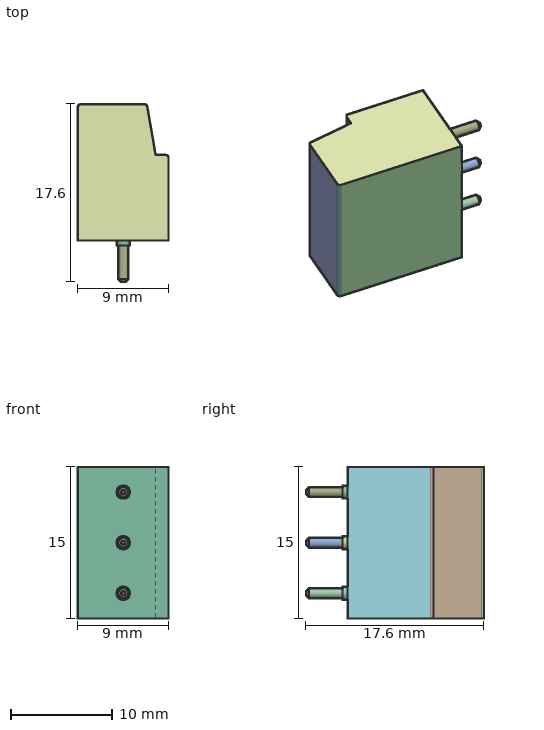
import cadquery as cq

total_depth = 17.6
housing_width = 9.0
housing_height = 15.0
pin_length = 4.1
housing_depth = total_depth - pin_length
corner_radius = 0.3

step_depth = 5.0
step_width = 1.28
slant_run = 0.86

pin_count = 3
pin_pitch = 5.0
pin_diameter = 1.0
collar_diameter = 1.3
collar_length = 0.5
tip_chamfer = 0.3

left = -housing_width / 2
right = housing_width / 2
back = housing_depth
step_y = back - step_depth
slant_foot_x = right - step_width
slant_top_x = slant_foot_x - slant_run


def make_housing():
    """Extrude the stepped outline and round its outer back corners."""
    outline = [
        (left, 0),
        (right, 0),
        (right, step_y),
        (slant_foot_x, step_y),
        (slant_top_x, back),
        (left, back),
    ]
    block = cq.Workplane("XY").polyline(outline).close().extrude(housing_height)
    outer_back_corners = block.edges("|Z").filter(is_outer_back_corner)
    return outer_back_corners.fillet(corner_radius).translate((0, 0, -housing_height / 2))


def is_outer_back_corner(edge):
    """Select the two back corners and the outer corner of the step."""
    point = edge.Center()
    on_back = point.y > back - corner_radius
    on_step_end = point.x > right - corner_radius and point.y > step_y - corner_radius
    return on_back or on_step_end


def make_pin(z):
    """Make a collared pin that points forward along -Y at height z."""
    front_face = cq.Workplane("XZ").center(0, z)
    pin = front_face.circle(pin_diameter / 2).extrude(pin_length)
    pin = pin.faces("<Y").chamfer(tip_chamfer)
    collar = front_face.circle(collar_diameter / 2).extrude(collar_length)
    return pin.union(collar)


result = make_housing()
for index in range(pin_count):
    pin_z = (index - (pin_count - 1) / 2) * pin_pitch
    result = result.union(make_pin(pin_z))